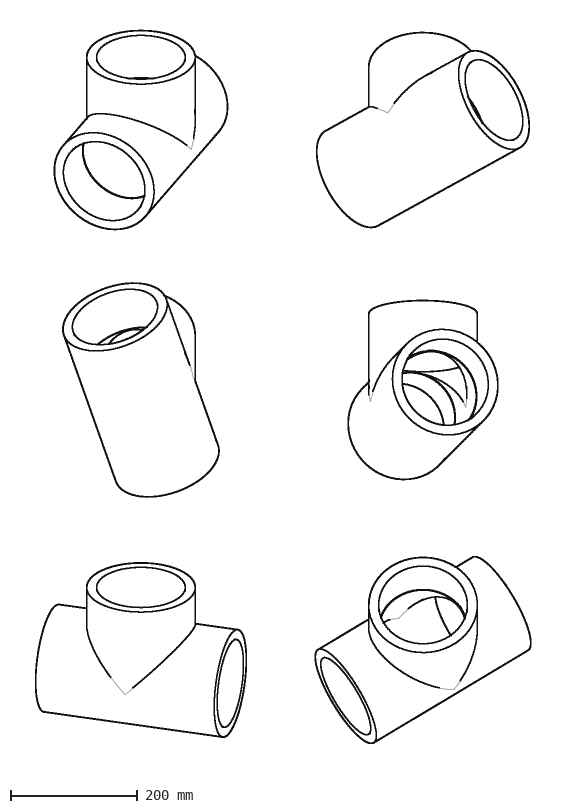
import cadquery as cq

run_length = 295.0
outer_diameter = 171.5
branch_height = 147.5

socket_diameter = 139.8
bore_diameter = 137.8
socket_depth = 76.7


def run_cylinder(diameter, length):
    """Cylinder along Y, centred on the origin."""
    return cq.Workplane("XZ").circle(diameter / 2).extrude(length / 2, both=True)


def branch_cylinder(diameter, bottom, top):
    """Vertical cylinder on the Z axis between two heights."""
    return cq.Workplane("XY").workplane(offset=bottom).circle(diameter / 2).extrude(top - bottom)


body = run_cylinder(outer_diameter, run_length).union(branch_cylinder(outer_diameter, 0, branch_height))

body = body.cut(run_cylinder(bore_diameter, run_length))
body = body.cut(branch_cylinder(bore_diameter, 0, branch_height))

run_sockets = run_cylinder(socket_diameter, run_length).cut(
    run_cylinder(outer_diameter, run_length - 2 * socket_depth)
)
body = body.cut(run_sockets)

result = body.cut(branch_cylinder(socket_diameter, branch_height - socket_depth, branch_height))